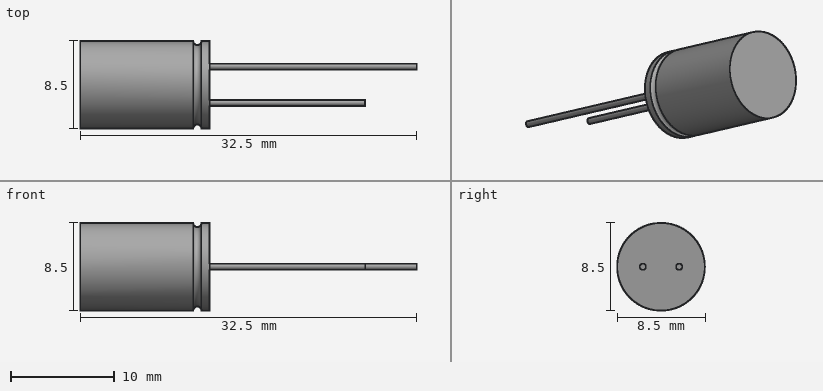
import cadquery as cq

can_diameter = 8.5
can_length = 12.51
rim_width = 0.8
groove_radius = 0.4
lead_diameter = 0.6
lead_pitch = 3.5
long_lead_length = 20.0
short_lead_length = 15.0

can_radius = can_diameter / 2
groove_end = can_length - rim_width
groove_center = groove_end - groove_radius
groove_start = groove_center - groove_radius
groove_floor = can_radius - groove_radius


def make_can():
    """Solid can with a half-round crimp groove, revolved about the X axis."""
    half_profile = (
        cq.Workplane("XY")
        .lineTo(0, can_radius)
        .lineTo(groove_start, can_radius)
        .threePointArc((groove_center, groove_floor), (groove_end, can_radius))
        .lineTo(can_length, can_radius)
        .lineTo(can_length, 0)
        .close()
    )
    return half_profile.revolve(360, (0, 0, 0), (1, 0, 0))


def make_lead(y_position, length):
    """Round wire lead standing on the crimped end of the can."""
    return (
        cq.Workplane("YZ", origin=(can_length, y_position, 0))
        .circle(lead_diameter / 2)
        .extrude(length)
    )


can = make_can()

lead_layout = [
    (lead_pitch / 2, long_lead_length),
    (-lead_pitch / 2, short_lead_length),
]
leads = [make_lead(y_position, length) for y_position, length in lead_layout]

result = cq.Compound.makeCompound([can.val(), *[lead.val() for lead in leads]])